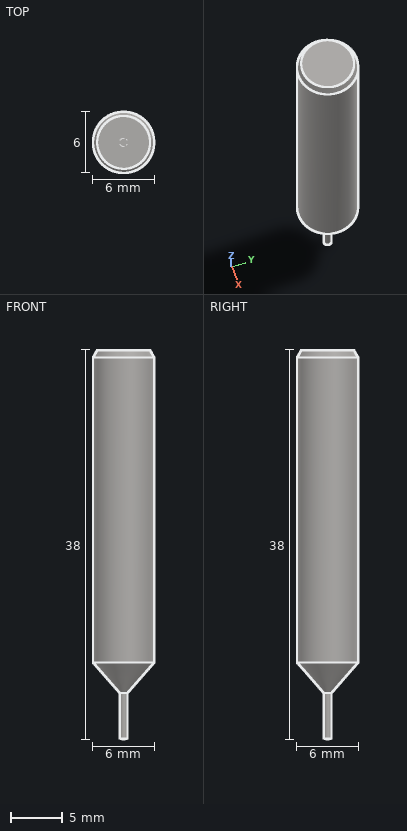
import cadquery as cq

total_length = 38.0
shank_diameter = 6.0
tip_diameter = 0.8

tip_length = 4.55
point_length = 0.1
neck_length = 2.95
chamfer_length = 0.72

chamfer_width = 0.4

shank_radius = shank_diameter / 2
tip_radius = tip_diameter / 2
neck_top = tip_length + neck_length
chamfer_bottom = total_length - chamfer_length


def revolve_about_axis(half_profile):
    """Turn a closed profile of (radius, height) points about the Z axis."""
    return cq.Workplane("XZ").polyline(half_profile).close().revolve(360, (0, 0), (0, 1))


def make_shank():
    """Round shank with a chamfered top and a conical neck down to the tip."""
    half_profile = [
        (0, tip_length),
        (tip_radius, tip_length),
        (shank_radius, neck_top),
        (shank_radius, chamfer_bottom),
        (shank_radius - chamfer_width, total_length),
        (0, total_length),
    ]
    return revolve_about_axis(half_profile)


def make_cutting_tip():
    """Thin cylindrical tip with a shallow conical point at its free end."""
    half_profile = [
        (0, 0),
        (tip_radius, point_length),
        (tip_radius, tip_length),
        (0, tip_length),
    ]
    return revolve_about_axis(half_profile)


shank = make_shank()
cutting_tip = make_cutting_tip()

result = cq.Compound.makeCompound([shank.val(), cutting_tip.val()])